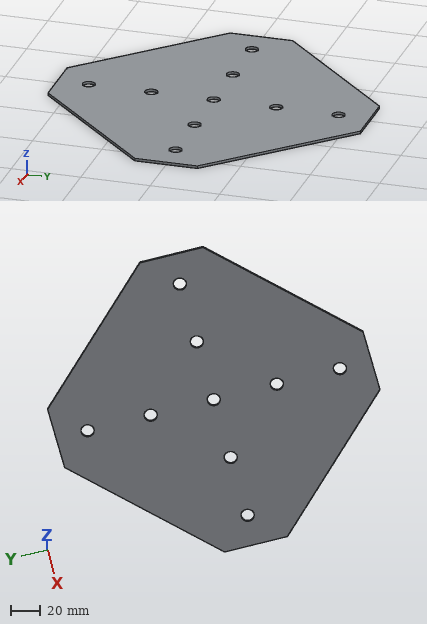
import cadquery as cq

width = 225.0
thickness = 2.0
hole_pitch = 45.0
hole_diameter = 9.0
edge_flat = 45.0

corner_cut = (width - edge_flat) / 2
holes_per_arm = 2

plate = (
    cq.Workplane("XY")
    .rect(width, width)
    .extrude(thickness)
    .edges("|Z")
    .chamfer(corner_cut)
)

hole_centers = [(0, 0)]
for step in range(1, holes_per_arm + 1):
    offset = step * hole_pitch
    hole_centers += [(offset, 0), (-offset, 0), (0, offset), (0, -offset)]

result = (
    plate.faces(">Z")
    .workplane()
    .pushPoints(hole_centers)
    .hole(hole_diameter)
)